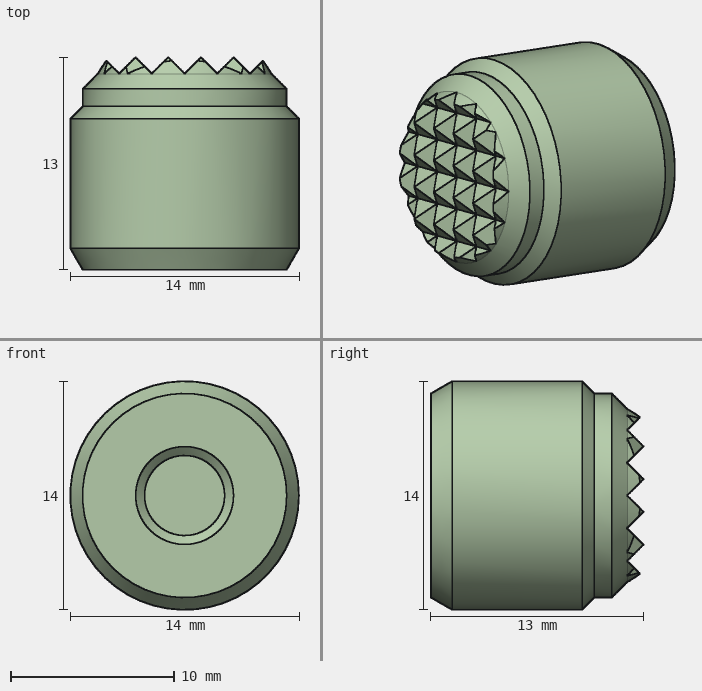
import cadquery as cq
import math

OUTER_DIAMETER = 14.0
OVERALL_LENGTH = 13.0

TOOTH_PITCH = 2.0
TOOTH_DEPTH = TOOTH_PITCH / 2
GROOVES_EACH_SIDE = 2

INSERT_DIAMETER = 12.49
INSERT_LENGTH = 3 * TOOTH_DEPTH
TOOTH_ROOT_DIAMETER = 10.61
TOOTH_RIM_ANGLE = 60.0

HOUSING_LENGTH = OVERALL_LENGTH - INSERT_LENGTH
BASE_CHAMFER_ANGLE = 60.0
HOLE_DIAMETER = 4.9
COUNTERSINK_DIAMETER = 5.99


def revolve_about_y(points):
    """Solid of revolution about Y from a closed (radius, height) outline."""
    return cq.Workplane("XY").polyline(points).close().revolve(360, (0, 0), (0, 1))


def make_housing():
    """Sleeve chamfered at both ends, with a countersunk hole running up to the insert."""
    radius = OUTER_DIAMETER / 2
    end_radius = INSERT_DIAMETER / 2
    chamfer_width = radius - end_radius
    base_chamfer_height = chamfer_width * math.tan(math.radians(BASE_CHAMFER_ANGLE))
    hole_radius = HOLE_DIAMETER / 2
    countersink_radius = COUNTERSINK_DIAMETER / 2
    countersink_depth = countersink_radius - hole_radius
    return revolve_about_y([
        (countersink_radius, 0),
        (end_radius, 0),
        (radius, base_chamfer_height),
        (radius, HOUSING_LENGTH - chamfer_width),
        (end_radius, HOUSING_LENGTH),
        (hole_radius, HOUSING_LENGTH),
        (hole_radius, countersink_depth),
    ])


def make_insert_blank():
    """Plain disc with a 45 degree edge below the tooth roots and a steeper rim above."""
    radius = INSERT_DIAMETER / 2
    root_radius = TOOTH_ROOT_DIAMETER / 2
    root_height = OVERALL_LENGTH - TOOTH_DEPTH
    edge_width = radius - root_radius
    rim_width = TOOTH_DEPTH / math.tan(math.radians(TOOTH_RIM_ANGLE))
    return revolve_about_y([
        (0, HOUSING_LENGTH),
        (radius, HOUSING_LENGTH),
        (radius, root_height - edge_width),
        (root_radius, root_height),
        (root_radius - rim_width, OVERALL_LENGTH),
        (0, OVERALL_LENGTH),
    ])


def make_groove(offset):
    """V groove running along Z, with its root at X = offset."""
    half_width = TOOTH_PITCH / 2
    return (
        cq.Workplane("XY")
        .polyline([
            (offset - half_width, OVERALL_LENGTH),
            (offset, OVERALL_LENGTH - TOOTH_DEPTH),
            (offset + half_width, OVERALL_LENGTH),
        ])
        .close()
        .extrude(INSERT_DIAMETER / 2, both=True)
    )


def make_insert():
    """Blank cut by the same set of grooves along Z and along X."""
    insert = make_insert_blank()
    for index in range(-GROOVES_EACH_SIDE, GROOVES_EACH_SIDE + 1):
        groove = make_groove(index * TOOTH_PITCH)
        insert = insert.cut(groove)
        insert = insert.cut(groove.rotate((0, 0, 0), (0, 1, 0), 90))
    return insert


housing = make_housing()
insert = make_insert()
result = cq.Compound.makeCompound([housing.val(), *insert.solids().vals()])